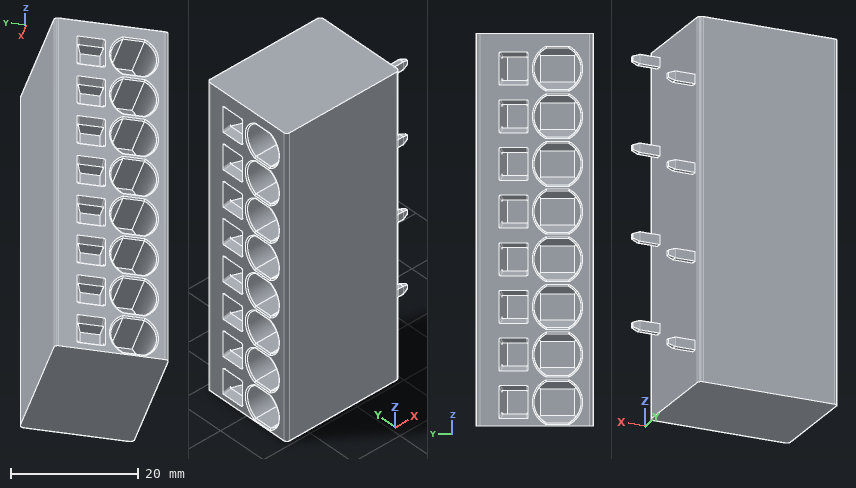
import cadquery as cq
import math

OVERALL_LENGTH = 28.75

HOUSING_LENGTH = 24.15
HOUSING_WIDTH = 18.5
HOUSING_HEIGHT = 61.8
FRONT_FILLET = 0.6
REAR_FILLET = 0.75

POLE_COUNT = 8
END_WALL = 1.8
POLE_PITCH = (HOUSING_HEIGHT - END_WALL) / POLE_COUNT
FIRST_POLE_Z = POLE_PITCH / 2

HOLE_Y = -3.6
HOLE_DIAMETER = 7.9
HOLE_HEIGHT = 7.05
HOLE_LEAD_IN = 0.25
HOLE_DEPTH = 9.9
HOLE_FLOOR_WIDTH = 5.3
HOLE_FLOOR_HEIGHT = 4.15

SLOT_Y_MIN = 1.05
SLOT_MOUTH_WIDTH = 4.6
SLOT_MOUTH_HEIGHT = 5.2
SLOT_MOUTH_DEPTH = 1.25
SLOT_CORNER_RADIUS = 0.25
SLOT_THROAT_HEIGHT = 3.65
SLOT_FLOOR_WIDTH = 3.2
SLOT_DEPTH = 3.7
SLOT_WALL_SLOPE = (SLOT_MOUTH_WIDTH - SLOT_FLOOR_WIDTH) / SLOT_DEPTH
SLOT_THROAT_WIDTH = SLOT_MOUTH_WIDTH - SLOT_WALL_SLOPE * SLOT_MOUTH_DEPTH

PIN_LENGTH = OVERALL_LENGTH - HOUSING_LENGTH
PIN_SHAFT_LENGTH = 3.45
PIN_HEIGHT = 1.6
PIN_THICKNESS = 0.9
PIN_TIP_HEIGHT = 0.8
PIN_TIP_THICKNESS = 0.5
PIN_RISE = 2.85
PIN_ROWS_Y = (7.35, -5.8)


def make_housing():
    block = cq.Workplane("XY").box(
        HOUSING_LENGTH, HOUSING_WIDTH, HOUSING_HEIGHT, centered=(False, True, False)
    )
    block = block.edges("|Z and <X").fillet(FRONT_FILLET)
    return block.edges("|Z and >X").fillet(REAR_FILLET)


def flatted_circle(plane, radius, half_height):
    half_flat = math.sqrt(radius**2 - half_height**2)
    return (
        plane.moveTo(-half_flat, -half_height)
        .lineTo(half_flat, -half_height)
        .threePointArc((radius, 0), (half_flat, half_height))
        .lineTo(-half_flat, half_height)
        .threePointArc((-radius, 0), (-half_flat, -half_height))
        .close()
    )


def make_wire_hole(z):
    mouth_radius = HOLE_DIAMETER / 2
    mouth_half_height = HOLE_HEIGHT / 2
    bore_radius = mouth_radius - HOLE_LEAD_IN
    bore_half_height = mouth_half_height - HOLE_LEAD_IN
    plane = cq.Workplane("YZ", origin=(0, HOLE_Y, z))

    mouth = flatted_circle(plane, mouth_radius, mouth_half_height)
    lead_in = flatted_circle(
        mouth.workplane(offset=HOLE_LEAD_IN), bore_radius, bore_half_height
    ).loft(ruled=True)

    bore = flatted_circle(plane, bore_radius, bore_half_height).extrude(HOLE_DEPTH)
    bevel_envelope = (
        plane.rect(HOLE_FLOOR_WIDTH + 2 * HOLE_DEPTH, HOLE_FLOOR_HEIGHT + 2 * HOLE_DEPTH)
        .workplane(offset=HOLE_DEPTH)
        .rect(HOLE_FLOOR_WIDTH, HOLE_FLOOR_HEIGHT)
        .loft(ruled=True)
    )
    return bore.intersect(bevel_envelope).union(lead_in)


def slot_section(x, z, width, height):
    return cq.Workplane("YZ", origin=(x, SLOT_Y_MIN + width / 2, z)).rect(width, height)


def slot_stage(z, x_start, start_size, x_end, end_size):
    """Tapered length of slot whose lower-Y wall stays straight."""
    start = slot_section(x_start, z, *start_size)
    end = slot_section(x_end, z, *end_size)
    return cq.Workplane(cq.Solid.makeLoft([start.wires().val(), end.wires().val()], True))


def make_slot(z):
    mouth_size = (SLOT_MOUTH_WIDTH, SLOT_MOUTH_HEIGHT)
    throat_size = (SLOT_THROAT_WIDTH, SLOT_THROAT_HEIGHT)
    floor_size = (SLOT_FLOOR_WIDTH, SLOT_THROAT_HEIGHT)
    mouth = slot_stage(z, 0, mouth_size, SLOT_MOUTH_DEPTH, throat_size)
    mouth = mouth.edges("not(#X)").fillet(SLOT_CORNER_RADIUS)
    throat = slot_stage(z, SLOT_MOUTH_DEPTH, throat_size, SLOT_DEPTH, floor_size)
    return mouth.union(throat)


def make_pin(y, z):
    shaft = (
        cq.Workplane("YZ", origin=(HOUSING_LENGTH, y, z))
        .rect(PIN_THICKNESS, PIN_HEIGHT)
        .extrude(PIN_SHAFT_LENGTH)
    )
    tip = (
        shaft.faces(">X")
        .workplane()
        .rect(PIN_THICKNESS, PIN_HEIGHT)
        .workplane(offset=PIN_LENGTH - PIN_SHAFT_LENGTH)
        .rect(PIN_TIP_THICKNESS, PIN_TIP_HEIGHT)
        .loft(ruled=True, combine=False)
    )
    return shaft.union(tip)


result = make_housing()
for pole in range(POLE_COUNT):
    pole_z = FIRST_POLE_Z + pole * POLE_PITCH
    pin_y = PIN_ROWS_Y[pole % len(PIN_ROWS_Y)]
    result = result.cut(make_wire_hole(pole_z)).cut(make_slot(pole_z))
    result = result.union(make_pin(pin_y, pole_z + PIN_RISE))